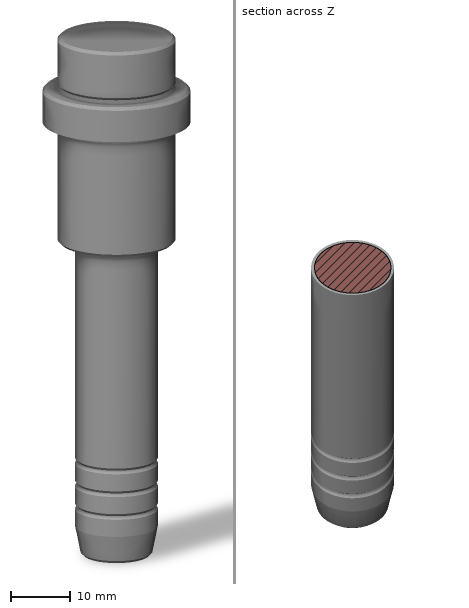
import cadquery as cq

TOTAL_LENGTH = 91.0
COLLAR_DIAMETER = 25.0
BODY_RADIUS = 10.0
SHAFT_RADIUS = 7.0
TIP_RADIUS = 6.1

HEAD_LENGTH = 9.0
COLLAR_LENGTH = 6.0
BODY_LENGTH = 21.0
TAPER_LENGTH = 5.0

EDGE_CHAMFER = 0.5
GROOVE_WIDTH = 1.0
GROOVE_DEPTH = GROOVE_WIDTH / 2
SHAFT_GROOVE_COUNT = 3
SHAFT_GROOVE_PITCH = 4.0
LOWEST_GROOVE_BOTTOM = 8.0
RELIEF_WIDTH = 0.9
RELIEF_DEPTH = 0.5

COLLAR_TOP = TOTAL_LENGTH - HEAD_LENGTH
COLLAR_BOTTOM = COLLAR_TOP - COLLAR_LENGTH
SHOULDER = COLLAR_BOTTOM - BODY_LENGTH


def cylinder(radius, bottom, top):
    return cq.Workplane("XY").workplane(offset=bottom).circle(radius).extrude(top - bottom)


def v_groove(radius, middle):
    """Ring with a 90 degree V section, deepest at the given height."""
    half_width = GROOVE_WIDTH / 2
    profile = cq.Workplane("XZ").polyline([
        (radius, middle - half_width),
        (radius - GROOVE_DEPTH, middle),
        (radius, middle + half_width),
    ]).close()
    return profile.revolve(360, (0, 0), (0, 1))


def shoulder_relief():
    """Square-sided ring that undercuts the shaft next to the shoulder."""
    ring = cq.Workplane("XY").workplane(offset=SHOULDER - RELIEF_WIDTH)
    return ring.circle(SHAFT_RADIUS).circle(SHAFT_RADIUS - RELIEF_DEPTH).extrude(RELIEF_WIDTH)


def tapered_shaft():
    """Shaft with a conical lead-in and a chamfered tip, grooved near the tip and undercut at the shoulder."""
    profile = cq.Workplane("XZ").polyline([
        (0, 0),
        (TIP_RADIUS - EDGE_CHAMFER, 0),
        (TIP_RADIUS, EDGE_CHAMFER),
        (SHAFT_RADIUS, TAPER_LENGTH),
        (SHAFT_RADIUS, SHOULDER),
        (0, SHOULDER),
    ]).close()
    shaft = profile.revolve(360, (0, 0), (0, 1))
    lowest_groove = LOWEST_GROOVE_BOTTOM + GROOVE_WIDTH / 2
    for index in range(SHAFT_GROOVE_COUNT):
        shaft = shaft.cut(v_groove(SHAFT_RADIUS, lowest_groove + index * SHAFT_GROOVE_PITCH))
    return shaft.cut(shoulder_relief())


def body():
    """Fitted cylinder below the collar, with a groove under the collar."""
    block = cylinder(BODY_RADIUS, SHOULDER, COLLAR_BOTTOM).faces("<Z").chamfer(EDGE_CHAMFER)
    return block.cut(v_groove(BODY_RADIUS, COLLAR_BOTTOM - GROOVE_WIDTH / 2))


def collar():
    return cylinder(COLLAR_DIAMETER / 2, COLLAR_BOTTOM, COLLAR_TOP).faces(">Z").chamfer(EDGE_CHAMFER)


def head():
    """Top cylinder, with a groove above the collar."""
    block = cylinder(BODY_RADIUS, COLLAR_TOP, TOTAL_LENGTH).faces(">Z").chamfer(EDGE_CHAMFER)
    return block.cut(v_groove(BODY_RADIUS, COLLAR_TOP + GROOVE_WIDTH / 2))


result = tapered_shaft().union(body()).union(collar()).union(head())